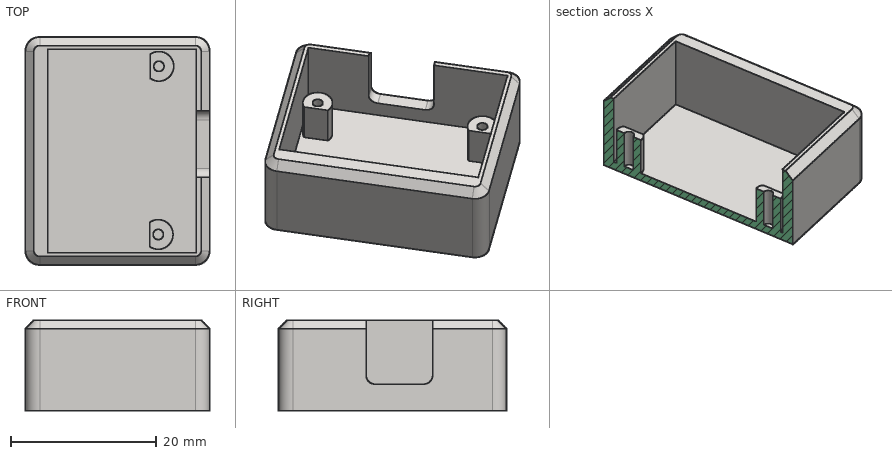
import cadquery as cq

length_x = 25.4
length_y = 31.4
height = 12.5
corner_radius = 1.98
rim_chamfer = 1.2

left_wall = 3.08
right_wall = 1.88
side_wall = 1.73
floor_thickness = 1.38

notch_width = 9.17
notch_center_y = 16.65
notch_bottom = 3.67
notch_radius = 1.25

post_radius = 2.05
post_flat_offset = 1.15
post_top = 7.22
post_hole_diameter = 1.4
post_centers = [(18.3, 4.2), (18.4, 27.35)]


def corner_box(size_x, size_y, size_z, corner):
    """Box placed by its lowest-coordinate corner."""
    return cq.Workplane("XY").box(size_x, size_y, size_z, centered=False).translate(corner)


def make_shell():
    """Rounded block with a chamfered rim and an open-topped cavity."""
    block = corner_box(length_x, length_y, height, (0, 0, 0))
    block = block.edges("|Z").fillet(corner_radius)
    block = block.faces(">Z").chamfer(rim_chamfer)
    cavity = corner_box(
        length_x - left_wall - right_wall,
        length_y - 2 * side_wall,
        height - floor_thickness,
        (left_wall, side_wall, floor_thickness),
    )
    return block.cut(cavity)


def make_notch():
    """Cutter through the +X wall with rounded lower corners."""
    cutter = corner_box(
        right_wall,
        notch_width,
        height - notch_bottom,
        (length_x - right_wall, notch_center_y - notch_width / 2, notch_bottom),
    )
    return cutter.edges("|X and <Z").fillet(notch_radius)


def make_post(center_x, center_y):
    """D-shaped post standing on the floor, with a hole down to the floor."""
    post_height = post_top - floor_thickness
    post = cq.Workplane("XY").circle(post_radius).extrude(post_height)
    kept_side = corner_box(
        post_flat_offset + post_radius,
        2 * post_radius,
        post_height,
        (-post_flat_offset, -post_radius, 0),
    )
    hole = cq.Workplane("XY").circle(post_hole_diameter / 2).extrude(post_height)
    post = post.intersect(kept_side).cut(hole)
    return post.translate((center_x, center_y, floor_thickness))


result = make_shell().cut(make_notch())
for center in post_centers:
    result = result.union(make_post(*center))